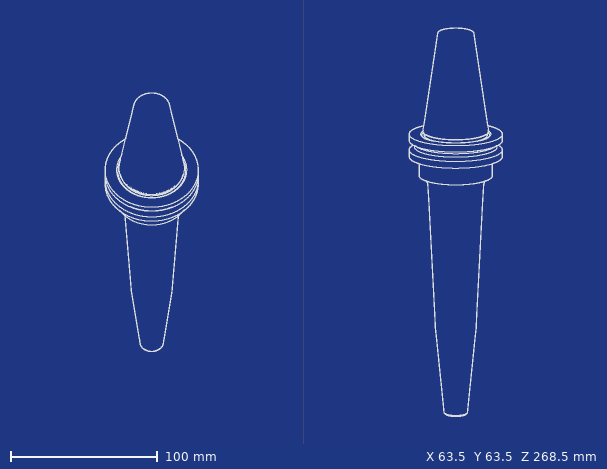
import cadquery as cq
import math

total_length = 268.5

gauge_radius = 22.3
taper_length = 68.5
taper_ratio = 7 / 24
taper_end_fillet = 1.3

gauge_land_height = 1.5
neck_radius = 21.5
recess_radius = 24.0
recess_floor_radius = 23.0
recess_depth = 0.8

flange_diameter = 63.5
flange_top_drop = 71.7
flange_thickness = 15.8
groove_center_drop = 79.5
groove_floor_radius = 28.2
groove_floor_width = 2.5
groove_wall_angle = 30.0

collar_radius = 25.0
nose_root_radius = 19.0
nose_root_height = 160.5
flare_radius = 7.0
nose_middle_radius = 14.0
nose_middle_height = 60.5
nose_tip_radius = 8.0
nose_chamfer = 1.0

gauge_height = total_length - taper_length
taper_top_radius = gauge_radius - taper_length * taper_ratio / 2
land_bottom = gauge_height - gauge_land_height
flange_radius = flange_diameter / 2
flange_top = total_length - flange_top_drop
flange_bottom = flange_top - flange_thickness
recess_floor = flange_top - recess_depth
groove_center = total_length - groove_center_drop
groove_half_floor = groove_floor_width / 2
groove_wall_rise = (flange_radius - groove_floor_radius) * math.tan(math.radians(groove_wall_angle))
groove_half_mouth = groove_half_floor + groove_wall_rise


def flare_point(angle):
    """Point on the concave flare arc; 0 degrees is tangent to the nose root."""
    center_radius = nose_root_radius + flare_radius
    return (
        center_radius - flare_radius * math.cos(angle),
        nose_root_height + flare_radius * math.sin(angle),
    )


flare_end_angle = math.acos((nose_root_radius + flare_radius - collar_radius) / flare_radius)

profile = (
    cq.Workplane("XZ")
    .moveTo(0, 0)
    .lineTo(nose_tip_radius - nose_chamfer, 0)
    .lineTo(nose_tip_radius, nose_chamfer)
    .lineTo(nose_middle_radius, nose_middle_height)
    .lineTo(nose_root_radius, nose_root_height)
    .threePointArc(flare_point(flare_end_angle / 2), flare_point(flare_end_angle))
    .lineTo(collar_radius, flange_bottom)
    .lineTo(flange_radius, flange_bottom)
    .lineTo(flange_radius, groove_center - groove_half_mouth)
    .lineTo(groove_floor_radius, groove_center - groove_half_floor)
    .lineTo(groove_floor_radius, groove_center + groove_half_floor)
    .lineTo(flange_radius, groove_center + groove_half_mouth)
    .lineTo(flange_radius, flange_top)
    .lineTo(recess_radius, flange_top)
    .lineTo(recess_floor_radius, recess_floor)
    .lineTo(neck_radius, recess_floor)
    .lineTo(neck_radius, land_bottom)
    .lineTo(gauge_radius, land_bottom)
    .lineTo(gauge_radius, gauge_height)
    .lineTo(taper_top_radius, total_length)
    .lineTo(0, total_length)
    .close()
)

body = profile.revolve(360, (0, 0, 0), (0, 1, 0))

result = body.faces(">Z").edges().fillet(taper_end_fillet)